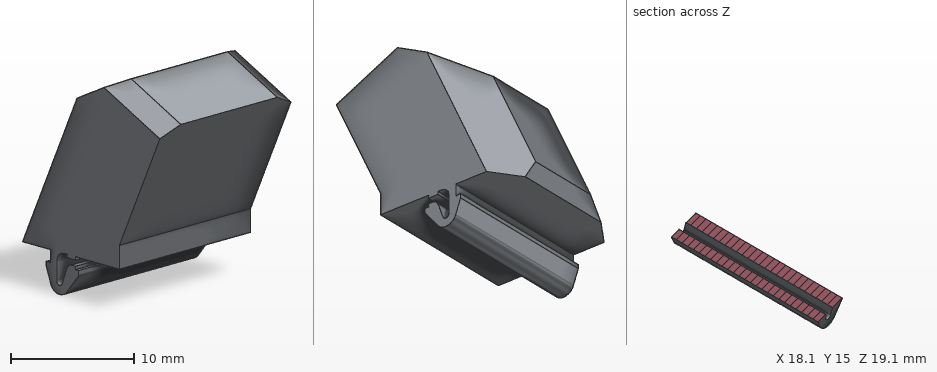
import cadquery as cq
import math

width = 15.0
foot_length = 13.0
foot_height = 2.0
lean = math.radians(25)
right_corner_x = 18.08
peak_x = 12.35
peak_z = 15.55
left_shoulder_x = 4.48

left_chamfer_depth = 2.55
left_chamfer_width = 4.0
top_chamfer_depth = 1.0
top_chamfer_width = 1.99
cut_reach = 28.7

stem_left_x = 5.09
stem_right_x = 5.82
barb_left_x = 4.6
barb_top_z = -1.09
barb_bottom_z = -1.47
clip_bottom_z = -3.58
outer_radius = 1.1
slot_radius = 0.33
slot_top_radius = 0.8
stop_left_x = 6.96
stop_right_x = 7.98
stop_depth = 0.29
tongue_top_z = -0.8
tongue_radius = 0.69
tongue_lean = math.radians(20)
tip_x = 8.32
tip_bottom_z = -1.55
tip_radius = 0.2


def on_circle(center, radius, angle):
    return (center[0] + radius * math.cos(angle), center[1] + radius * math.sin(angle))


def tangent_angle(center, radius, point, side):
    """Angle on the circle where the line from an outside point touches it."""
    dx = point[0] - center[0]
    dz = point[1] - center[1]
    return math.atan2(dz, dx) + side * math.acos(radius / math.hypot(dx, dz))


def extrude_across(outline):
    return outline.close().extrude(width / 2, both=True)


def make_block():
    left_shoulder_z = foot_height + left_shoulder_x / math.tan(lean)
    right_corner_z = foot_height + (right_corner_x - foot_length) / math.tan(lean)
    return extrude_across(
        cq.Workplane("XZ").polyline([
            (0, 0),
            (foot_length, 0),
            (foot_length, foot_height),
            (right_corner_x, right_corner_z),
            (peak_x, peak_z),
            (left_shoulder_x, left_shoulder_z),
            (0, foot_height),
        ])
    )


def corner_cutter(plane, depth, chamfer_width, side):
    """Wedge along the plane normal; local X runs into the block and local Y runs across it."""
    slope = chamfer_width / depth
    inner_y = width / 2 - chamfer_width
    outline = [
        (-depth, side * (inner_y - depth * slope)),
        (2 * depth, side * (inner_y + 2 * depth * slope)),
        (-depth, side * (inner_y + 2 * depth * slope)),
    ]
    return cq.Workplane(plane).polyline(outline).close().extrude(cut_reach, both=True)


def make_head():
    up_lean = (math.sin(lean), 0, math.cos(lean))
    down_slope = (math.cos(lean), 0, -math.sin(lean))
    into_top = (-math.sin(lean), 0, -math.cos(lean))
    left_plane = cq.Plane((0, 0, foot_height), down_slope, up_lean)
    top_plane = cq.Plane((peak_x, 0, peak_z), into_top, down_slope)
    head = make_block()
    for side in (-1, 1):
        head = head.cut(corner_cutter(left_plane, left_chamfer_depth, left_chamfer_width, side))
        head = head.cut(corner_cutter(top_plane, top_chamfer_depth, top_chamfer_width, side))
    return head


def make_clip():
    bend = (stem_right_x + slot_radius, clip_bottom_z + outer_radius)
    barb = (barb_left_x, barb_bottom_z)
    tip = (tip_x, tip_bottom_z)
    bend_start = on_circle(bend, outer_radius, tangent_angle(bend, outer_radius, barb, 1))
    bend_end = on_circle(bend, outer_radius, tangent_angle(bend, outer_radius, tip, -1))

    slot_end = on_circle(bend, slot_radius, -tongue_lean)
    nose_z = tongue_top_z - tongue_radius
    nose_start_z = nose_z + tongue_radius * math.sin(tongue_lean)
    nose_start_x = slot_end[0] + (nose_start_z - slot_end[1]) * math.tan(tongue_lean)
    nose = (nose_start_x + tongue_radius * math.cos(tongue_lean), nose_z)
    nose_middle = on_circle(nose, tongue_radius, (math.pi / 2 + math.pi - tongue_lean) / 2)
    slot_top = (stem_right_x + slot_top_radius, -slot_top_radius)

    clip = extrude_across(
        cq.Workplane("XZ")
        .moveTo(stem_left_x, 0)
        .lineTo(stem_left_x, barb_top_z)
        .lineTo(barb_left_x, barb_top_z)
        .lineTo(*barb)
        .lineTo(*bend_start)
        .threePointArc((bend[0], clip_bottom_z), bend_end)
        .lineTo(*tip)
        .lineTo(tip_x, barb_top_z)
        .lineTo(stop_right_x, barb_top_z)
        .lineTo(stop_right_x, tongue_top_z)
        .lineTo(nose[0], tongue_top_z)
        .threePointArc(nose_middle, (nose_start_x, nose_start_z))
        .lineTo(*slot_end)
        .threePointArc((bend[0], bend[1] - slot_radius), (stem_right_x, bend[1]))
        .lineTo(stem_right_x, -slot_top_radius)
        .threePointArc(on_circle(slot_top, slot_top_radius, 0.75 * math.pi), (slot_top[0], 0))
    )
    tip_edge = cq.selectors.NearestToPointSelector((tip_x, 0, tip_bottom_z))
    return clip.edges("|Y").edges(tip_edge).fillet(tip_radius)


def make_stop():
    return extrude_across(
        cq.Workplane("XZ").polyline([
            (stop_left_x, 0),
            (stop_left_x, -stop_depth),
            (stop_right_x, -stop_depth),
            (stop_right_x, 0),
        ])
    )


result = make_head().union(make_clip()).union(make_stop())